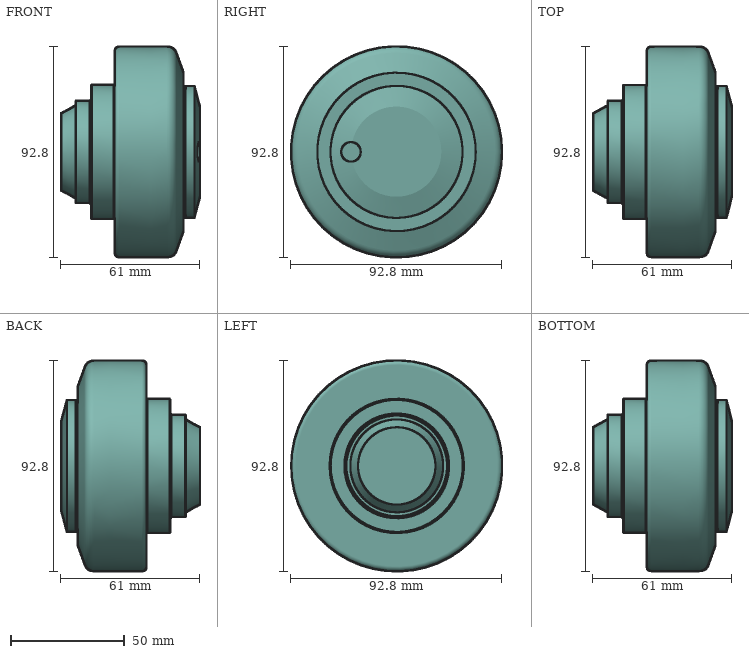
import cadquery as cq
import math


spigot_shoulder_x = 6.2
collar_face_x = 13.0
roller_left_x = 23.5
roller_right_x = 53.8
flange_left_x = 54.6
overall_length = 61.0

tip_diameter = 34.0
tip_base_diameter = 40.8
spigot_diameter = 45.0
collar_diameter = 59.0
roller_diameter = 92.8
roller_face_diameter = 69.6
neck_diameter = 55.5
flange_diameter = 58.0
flange_face_diameter = 39.6

spigot_chamfer = 0.4
spigot_root_chamfer = 0.5
collar_chamfer = 0.5
roller_left_radius = 2.0
roller_right_radius = 4.2
roller_taper_angle = math.radians(20)
flange_taper_angle = math.radians(15)
crown_height = 0.1

hole_diameter = 8.6
hole_offset = 20.0
hole_depth = 6.0


def disc(start_x, end_x, diameter):
    """Plain cylinder about X between two stations."""
    return cq.Workplane("YZ").workplane(offset=start_x).circle(diameter / 2).extrude(end_x - start_x)


def revolve_about_x(profile):
    """Turn a closed profile of the XY plane about the X axis."""
    return profile.close().revolve(360, (0, 0, 0), (1, 0, 0))


def make_spigot():
    """Spigot with a tapered tip, a chamfered shoulder and a conical root at the collar."""
    radius = spigot_diameter / 2
    profile = (
        cq.Workplane("XY")
        .moveTo(0, 0)
        .lineTo(0, tip_diameter / 2)
        .lineTo(spigot_shoulder_x, tip_base_diameter / 2)
        .lineTo(spigot_shoulder_x, radius - spigot_chamfer)
        .lineTo(spigot_shoulder_x + spigot_chamfer, radius)
        .lineTo(collar_face_x - spigot_root_chamfer, radius)
        .lineTo(collar_face_x, radius + spigot_root_chamfer)
        .lineTo(collar_face_x, 0)
    )
    return revolve_about_x(profile)


def make_collar():
    """Collar with both rims chamfered."""
    return disc(collar_face_x, roller_left_x, collar_diameter).edges().chamfer(collar_chamfer)


def make_roller():
    """Crowned roller: small round on the left, larger round running into a taper on the right."""
    crown_radius = roller_diameter / 2
    edge_radius = crown_radius - crown_height
    face_radius = roller_face_diameter / 2

    taper_start_radius = edge_radius - roller_right_radius * (1 - math.sin(roller_taper_angle))
    taper_start_x = roller_right_x - (taper_start_radius - face_radius) * math.tan(roller_taper_angle)
    round_center_x = taper_start_x - roller_right_radius * math.cos(roller_taper_angle)
    round_center_radius = edge_radius - roller_right_radius
    round_mid_angle = (math.pi / 2 + roller_taper_angle) / 2
    round_mid = (
        round_center_x + roller_right_radius * math.cos(round_mid_angle),
        round_center_radius + roller_right_radius * math.sin(round_mid_angle),
    )

    left_round_end_x = roller_left_x + roller_left_radius
    left_round_mid = (
        left_round_end_x - roller_left_radius * math.sqrt(0.5),
        edge_radius - roller_left_radius * (1 - math.sqrt(0.5)),
    )
    crown_mid_x = (left_round_end_x + round_center_x) / 2

    profile = (
        cq.Workplane("XY")
        .moveTo(roller_left_x, 0)
        .lineTo(roller_left_x, edge_radius - roller_left_radius)
        .threePointArc(left_round_mid, (left_round_end_x, edge_radius))
        .threePointArc((crown_mid_x, crown_radius), (round_center_x, edge_radius))
        .threePointArc(round_mid, (taper_start_x, taper_start_radius))
        .lineTo(roller_right_x, face_radius)
        .lineTo(roller_right_x, 0)
    )
    return revolve_about_x(profile)


def make_flange():
    """End flange whose outer face falls away in a shallow taper."""
    radius = flange_diameter / 2
    face_radius = flange_face_diameter / 2
    taper_start_x = overall_length - (radius - face_radius) * math.tan(flange_taper_angle)
    profile = (
        cq.Workplane("XY")
        .moveTo(flange_left_x, 0)
        .lineTo(flange_left_x, radius)
        .lineTo(taper_start_x, radius)
        .lineTo(overall_length, face_radius)
        .lineTo(overall_length, 0)
    )
    return revolve_about_x(profile)


def make_flange_hole():
    """Blind hole parallel to X, breaking out through the flange taper."""
    return disc(overall_length - hole_depth, overall_length, hole_diameter).translate((0, -hole_offset, 0))


neck = disc(roller_right_x, flange_left_x, neck_diameter)

result = (
    make_spigot()
    .union(make_collar())
    .union(make_roller())
    .union(neck)
    .union(make_flange())
    .cut(make_flange_hole())
)